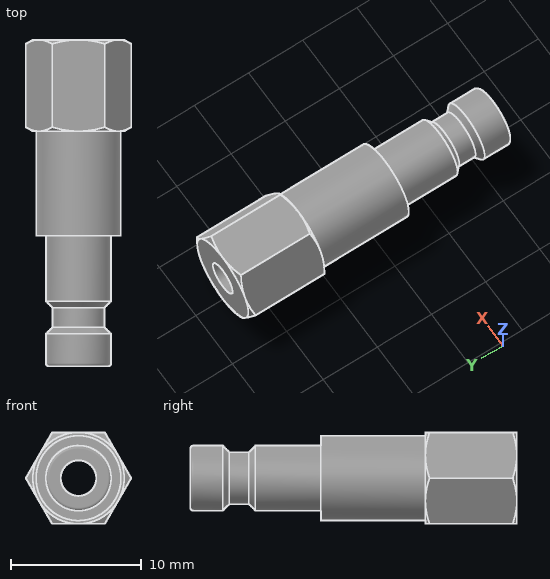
import cadquery as cq
import math

total_length = 25.0
hex_length = 7.0
hex_start = total_length - hex_length
sleeve_start = 10.0
groove_start = 2.5
groove_end = 5.0

across_flats = 7.0
sleeve_diameter = 6.5
stem_diameter = 5.0
groove_diameter = 4.0
bore_diameter = 2.7

tip_fillet = 0.25
hex_chamfer_angle = 30.0


def revolve_about_y(profile):
    """Turn a closed (radius, Y) outline about the Y axis."""
    return cq.Workplane("XY").polyline(profile).close().revolve(360, (0, 0, 0), (0, 1, 0))


def make_hex():
    """Hexagon with corners on X and both ends turned to a cone."""
    flat_radius = across_flats / 2
    corner_radius = flat_radius / math.cos(math.radians(30))
    corner_drop = (corner_radius - flat_radius) * math.tan(math.radians(hex_chamfer_angle))
    prism = (
        cq.Workplane("XZ", origin=(0, total_length, 0))
        .polygon(6, 2 * corner_radius)
        .extrude(hex_length)
    )
    envelope = revolve_about_y([
        (0, hex_start),
        (flat_radius, hex_start),
        (corner_radius, hex_start + corner_drop),
        (corner_radius, total_length - corner_drop),
        (flat_radius, total_length),
        (0, total_length),
    ])
    return prism.intersect(envelope)


def make_plug():
    """Turned sleeve and stem with a locking groove near the tip."""
    sleeve_radius = sleeve_diameter / 2
    stem_radius = stem_diameter / 2
    groove_radius = groove_diameter / 2
    groove_depth = stem_radius - groove_radius
    plug = revolve_about_y([
        (0, 0),
        (stem_radius, 0),
        (stem_radius, groove_start),
        (groove_radius, groove_start + groove_depth),
        (groove_radius, groove_end - groove_depth),
        (stem_radius, groove_end),
        (stem_radius, sleeve_start),
        (sleeve_radius, sleeve_start),
        (sleeve_radius, hex_start),
        (0, hex_start),
    ])
    return plug.faces("<Y").edges().fillet(tip_fillet)


def make_bore():
    """Straight passage through the full length."""
    return cq.Workplane("XZ").circle(bore_diameter / 2).extrude(-total_length)


result = make_plug().union(make_hex()).cut(make_bore())